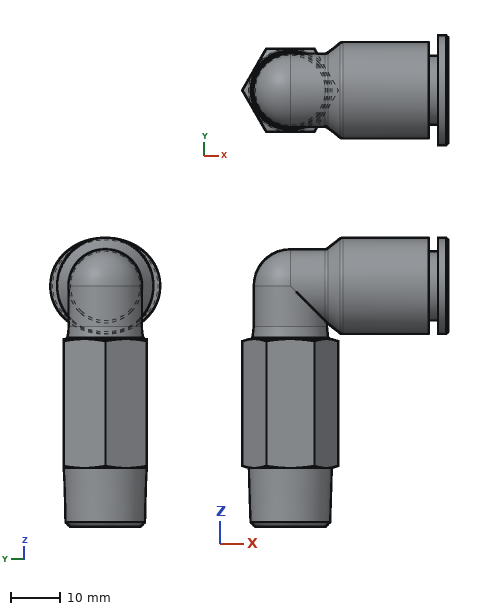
import cadquery as cq
import math


total_height = 59.0
socket_radius = 9.85
outlet_height = total_height - socket_radius

thread_top_z = 12.05
thread_top_radius = 8.5
thread_taper = 1 / 16
thread_chamfer = 1.0

hex_flat_width = 17.0
hex_top_z = 38.3
hex_corner_drop = 0.4
hex_corner_radius = hex_flat_width / math.sqrt(3)

pipe_radius = 7.5
foot_top_z = 40.9
foot_bottom_z = 38.65
foot_radius = 7.7
foot_rim_radius = 8.1

shoulder_start_x = 7.4
shoulder_end_x = 10.4
shoulder_round = 1.0
socket_end_x = 28.3
socket_chamfer = 0.2
neck_radius = 7.1

ring_back_x = 30.1
ring_end_x = 32.2
ring_width = 22.5
ring_height = 2 * socket_radius
ring_chamfer = 0.5


def revolve_about_z(profile):
    """Turn a closed profile of (radius, z) around the stem axis."""
    return cq.Workplane("XZ").polyline(profile).close().revolve(360, (0, 0, 0), (0, 1, 0))


def outlet_section(x):
    """Workplane across the horizontal axis: local X is Y, local Y is Z."""
    return cq.Workplane(cq.Plane(origin=(x, 0, outlet_height), xDir=(0, 1, 0), normal=(1, 0, 0)))


def cylinder_along_x(start_x, end_x, radius):
    return outlet_section(start_x).circle(radius).extrude(end_x - start_x)


def make_thread():
    tapered_length = thread_top_z - thread_chamfer
    bottom_radius = thread_top_radius - tapered_length * thread_taper / 2
    return revolve_about_z([
        (0, 0),
        (bottom_radius - thread_chamfer, 0),
        (bottom_radius, thread_chamfer),
        (thread_top_radius, thread_top_z),
        (0, thread_top_z),
    ])


def make_hexagon():
    prism = (
        cq.Workplane("XY", origin=(0, 0, thread_top_z))
        .polygon(6, 2 * hex_corner_radius)
        .extrude(hex_top_z - thread_top_z)
    )
    envelope = revolve_about_z([
        (0, thread_top_z),
        (hex_flat_width / 2, thread_top_z),
        (hex_corner_radius, thread_top_z + hex_corner_drop),
        (hex_corner_radius, hex_top_z - hex_corner_drop),
        (hex_flat_width / 2, hex_top_z),
        (0, hex_top_z),
    ])
    return prism.intersect(envelope)


def make_elbow():
    riser = revolve_about_z([
        (0, hex_top_z),
        (foot_rim_radius, hex_top_z),
        (foot_radius, foot_bottom_z),
        (pipe_radius, foot_top_z),
        (pipe_radius, outlet_height),
        (0, outlet_height),
    ])
    corner = cq.Workplane("XY", origin=(0, 0, outlet_height)).sphere(pipe_radius)
    outlet = cylinder_along_x(0, shoulder_start_x, pipe_radius)
    return riser.union(corner).union(outlet)


def make_socket():
    """Coned shoulder and socket body, with both ends of the cone rounded."""
    rise = socket_radius - pipe_radius
    cone_angle = math.atan2(rise, shoulder_end_x - shoulder_start_x)
    tangent = shoulder_round * math.tan(cone_angle / 2)
    tangent_x = tangent * math.cos(cone_angle)
    tangent_r = tangent * math.sin(cone_angle)
    inner_z = outlet_height + pipe_radius
    outer_z = outlet_height + socket_radius
    return (
        cq.Workplane("XZ")
        .moveTo(0, outlet_height)
        .lineTo(0, inner_z)
        .lineTo(shoulder_start_x - tangent, inner_z)
        .tangentArcPoint((shoulder_start_x + tangent_x, inner_z + tangent_r), relative=False)
        .lineTo(shoulder_end_x - tangent_x, outer_z - tangent_r)
        .tangentArcPoint((shoulder_end_x + tangent, outer_z), relative=False)
        .lineTo(socket_end_x - socket_chamfer, outer_z)
        .lineTo(socket_end_x, outer_z - socket_chamfer)
        .lineTo(socket_end_x, outlet_height)
        .close()
        .revolve(360, (0, outlet_height, 0), (1, outlet_height, 0))
    )


def make_release_ring():
    neck = cylinder_along_x(socket_end_x, ring_back_x, neck_radius)
    ring = (
        outlet_section(ring_back_x)
        .ellipse(ring_width / 2, ring_height / 2)
        .extrude(ring_end_x - ring_back_x)
        .faces(">X")
        .edges()
        .chamfer(ring_chamfer)
    )
    return neck.union(ring)


result = make_thread()
for section in (make_hexagon(), make_elbow(), make_socket(), make_release_ring()):
    result = result.union(section)